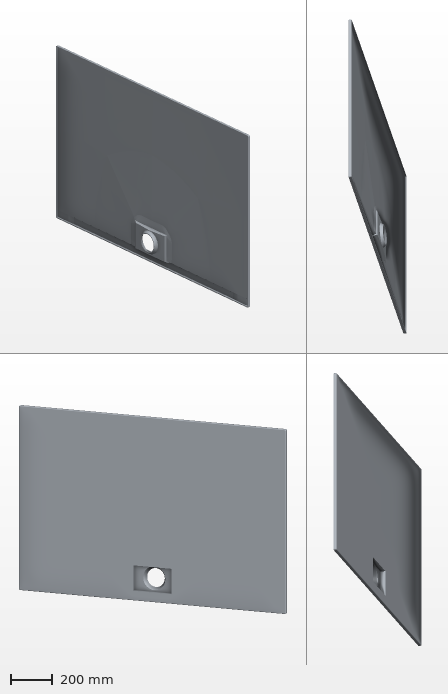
import cadquery as cq
import math


WIDTH = 1400.0
DEPTH = 900.0
CORNER_RADIUS = 6.0
BACK_EDGE_RADIUS = 4.0
RIM_WIDTH = 5.0
RIM_HEIGHT = 15.0
INNER_HALF_WIDTH = WIDTH / 2 - RIM_WIDTH
INNER_TOP = DEPTH - RIM_WIDTH

BAND_TOP = 38.0
BAND_CENTRE_HEIGHT = 5.0
BAND_END_HEIGHT = 8.0
BAND_RAMP_INNER_X = 579.0
BAND_RAMP_OUTER_X = 616.0

SLOPE_BOTTOM = 48.0
SLOPE_EDGE_HEIGHT = 9.0
SLOPE_MID_HEIGHT = 12.0
SLOPE_PEAK_HEIGHT = 19.0

JUNCTION_X = 330.0
JUNCTION_Z = 448.0
ARCH_CROWN_Z = 562.0
TOP_BREAK_X = 349.0
SIDE_BREAK_Z = 470.0
FOOT_X = 424.0
TOP_FOLD_BOW = (5.0, 0.0)
SIDE_FOLD_BOW = (0.0, 7.0)
FOOT_FOLD_BOW = (17.0, 3.0)
ARCH_BOW = (10.0, 20.0)

BOX_HALF_WIDTH = 115.0
BOX_TOP = 185.0
BOX_BOTTOM = 34.0
BOX_DRAFT_RUN = 10.0
BOX_BOTTOM_DRAFT_RUN = 13.0
BOX_EDGE_HEIGHT = 28.0
BOX_RIDGE_HEIGHT = 32.0

COLLAR_HALF_WIDTH = 154.0
COLLAR_TOP = 230.0
COLLAR_CORNER_RADIUS = 90.0
COLLAR_INNER_RADIUS = 10.0
COLLAR_BASE_HEIGHT = 17.5
COLLAR_CREST_HEIGHT = 22.0

SPOUT_Z = 112.0
SPOUT_BASE_HEIGHT = 28.0
SPOUT_BASE_RADIUS = 62.0
SPOUT_TIP_RADIUS = 50.0
SPOUT_TIP_HEIGHT = 44.0
SHELL_THICKNESS = 4.0


def point(x, z, height):
    """Point at the given place and height above the back face."""
    return cq.Vector(x, -height, z)


def line(start, end):
    return cq.Edge.makeLine(start, end)


def bowed_arc(start, end, bow):
    """Arc between two points whose middle is pushed off the chord by (x, z) bow."""
    middle = (start + end) * 0.5 + cq.Vector(bow[0], 0, bow[1])
    return cq.Edge.makeThreePointArc(start, middle, end)


def polygon_face(points):
    return cq.Face.makeFromWires(cq.Wire.makePolygon(points, close=True))


def patch(edges):
    """Smooth face spanning a closed loop of edges."""
    return cq.Face.makeNSidedSurface(edges, [])


def make_base():
    """Rim with a recess whose floor is the back slab, rounded on the back edge."""
    slab = (
        cq.Workplane("XZ")
        .center(0, DEPTH / 2)
        .rect(WIDTH, DEPTH)
        .extrude(RIM_HEIGHT)
        .edges("|Y")
        .fillet(CORNER_RADIUS)
        .faces(">Y")
        .edges()
        .fillet(BACK_EDGE_RADIUS)
    )
    recess = (
        cq.Workplane("XZ", origin=(0, -BAND_CENTRE_HEIGHT, 0))
        .center(0, DEPTH / 2)
        .rect(2 * INNER_HALF_WIDTH, DEPTH - 2 * RIM_WIDTH)
        .extrude(RIM_HEIGHT)
    )
    return slab.cut(recess)


def make_band_end(side):
    """Raised end of the edge band, with a ramp down to its centre."""
    return (
        cq.Workplane("XY", origin=(0, 0, RIM_WIDTH))
        .moveTo(side * BAND_RAMP_INNER_X, -BAND_CENTRE_HEIGHT)
        .lineTo(side * BAND_RAMP_OUTER_X, -BAND_END_HEIGHT)
        .lineTo(side * INNER_HALF_WIDTH, -BAND_END_HEIGHT)
        .lineTo(side * INNER_HALF_WIDTH, -BAND_CENTRE_HEIGHT)
        .close()
        .extrude(SLOPE_BOTTOM - RIM_WIDTH)
    )


def wall_z(height):
    """Z at which the drafted wall above the edge band reaches a height."""
    wall_fraction = (height - BAND_CENTRE_HEIGHT) / (SLOPE_PEAK_HEIGHT - BAND_CENTRE_HEIGHT)
    return BAND_TOP + wall_fraction * (SLOPE_BOTTOM - BAND_TOP)


def make_slope():
    """Sloping underside: curved patches over a flat-sided body, mirrored about X = 0."""
    junction = point(JUNCTION_X, JUNCTION_Z, SLOPE_MID_HEIGHT)
    arch_crown = point(0, ARCH_CROWN_Z, SLOPE_MID_HEIGHT)
    peak_centre = point(0, BOX_TOP, SLOPE_PEAK_HEIGHT)
    peak_corner = point(BOX_HALF_WIDTH, BOX_TOP, SLOPE_PEAK_HEIGHT)
    peak_foot = point(BOX_HALF_WIDTH, SLOPE_BOTTOM, SLOPE_PEAK_HEIGHT)
    foot_centre = point(0, SLOPE_BOTTOM, SLOPE_PEAK_HEIGHT)
    foot = point(FOOT_X, wall_z(SLOPE_MID_HEIGHT), SLOPE_MID_HEIGHT)
    top_centre = point(0, INNER_TOP, SLOPE_EDGE_HEIGHT)
    top_break = point(TOP_BREAK_X, INNER_TOP, SLOPE_EDGE_HEIGHT)
    top_corner = point(INNER_HALF_WIDTH, INNER_TOP, SLOPE_EDGE_HEIGHT)
    side_break = point(INNER_HALF_WIDTH, SIDE_BREAK_Z, SLOPE_EDGE_HEIGHT)
    bottom_corner = point(INNER_HALF_WIDTH, wall_z(SLOPE_EDGE_HEIGHT), SLOPE_EDGE_HEIGHT)
    heel_corner = point(INNER_HALF_WIDTH, BAND_TOP, BAND_CENTRE_HEIGHT)
    heel_centre = point(0, BAND_TOP, BAND_CENTRE_HEIGHT)
    floor_corner = point(INNER_HALF_WIDTH, INNER_TOP, BAND_CENTRE_HEIGHT)
    floor_centre = point(0, INNER_TOP, BAND_CENTRE_HEIGHT)

    to_top = bowed_arc(junction, top_break, TOP_FOLD_BOW)
    to_side = bowed_arc(junction, side_break, SIDE_FOLD_BOW)
    to_foot = bowed_arc(junction, foot, FOOT_FOLD_BOW)
    arch = bowed_arc(junction, arch_crown, ARCH_BOW)
    to_peak = line(junction, peak_corner)
    crown_to_top = line(arch_crown, top_centre)
    crown_to_peak = line(arch_crown, peak_centre)

    half = [
        patch([to_top, line(top_break, top_corner), line(top_corner, side_break), to_side]),
        patch([crown_to_top, line(top_centre, top_break), to_top, arch]),
        patch([arch, to_peak, line(peak_corner, peak_centre), crown_to_peak]),
        patch([to_foot, line(foot, peak_foot), line(peak_foot, peak_corner), to_peak]),
        patch([to_side, line(side_break, bottom_corner), line(bottom_corner, foot), to_foot]),
        polygon_face([peak_centre, peak_corner, peak_foot, foot_centre]),
        polygon_face([heel_centre, heel_corner, bottom_corner, foot, peak_foot, foot_centre]),
        polygon_face([heel_centre, heel_corner, floor_corner, floor_centre]),
        polygon_face([top_centre, top_break, top_corner, floor_corner, floor_centre]),
        polygon_face([side_break, top_corner, floor_corner, heel_corner, bottom_corner]),
    ]
    mirrored = [face.mirror("YZ") for face in half]
    body = cq.Solid.makeSolid(cq.Shell.makeShell(half + mirrored))
    return cq.Workplane(body.fix())


def arch_outline(half_width, top, corner_radius, height):
    """Flat-bottomed outline with rounded upper corners, at a height above the back."""
    shoulder_x = half_width - corner_radius
    shoulder_z = top - corner_radius
    diagonal = corner_radius * math.sqrt(0.5)
    wire = (
        cq.Workplane("XZ", origin=(0, -height, 0))
        .moveTo(-half_width, SLOPE_BOTTOM)
        .lineTo(-half_width, shoulder_z)
        .threePointArc((-shoulder_x - diagonal, shoulder_z + diagonal), (-shoulder_x, top))
        .lineTo(shoulder_x, top)
        .threePointArc((shoulder_x + diagonal, shoulder_z + diagonal), (half_width, shoulder_z))
        .lineTo(half_width, SLOPE_BOTTOM)
        .close()
    )
    return wire.val()


def make_collar():
    """Shallow ramp from the slope up to the drain box walls."""
    outer = arch_outline(COLLAR_HALF_WIDTH, COLLAR_TOP, COLLAR_CORNER_RADIUS, COLLAR_BASE_HEIGHT)
    inner = arch_outline(BOX_HALF_WIDTH, BOX_TOP, COLLAR_INNER_RADIUS, COLLAR_CREST_HEIGHT)
    return cq.Workplane(cq.Solid.makeLoft([outer, inner], True))


def make_drain_box():
    """Ridged box with drafted sides, top and bottom."""
    face_half_width = BOX_HALF_WIDTH - BOX_DRAFT_RUN
    cross_section = (
        cq.Workplane("XY", origin=(0, 0, BOX_BOTTOM))
        .moveTo(-BOX_HALF_WIDTH, 0)
        .lineTo(-BOX_HALF_WIDTH, -COLLAR_CREST_HEIGHT)
        .lineTo(-face_half_width, -BOX_EDGE_HEIGHT)
        .lineTo(0, -BOX_RIDGE_HEIGHT)
        .lineTo(face_half_width, -BOX_EDGE_HEIGHT)
        .lineTo(BOX_HALF_WIDTH, -COLLAR_CREST_HEIGHT)
        .lineTo(BOX_HALF_WIDTH, 0)
        .close()
        .extrude(BOX_TOP - BOX_BOTTOM)
    )
    side_profile = (
        cq.Workplane("YZ", origin=(-BOX_HALF_WIDTH, 0, 0))
        .moveTo(0, BOX_BOTTOM)
        .lineTo(-BAND_CENTRE_HEIGHT, BOX_BOTTOM)
        .lineTo(-BOX_RIDGE_HEIGHT, BOX_BOTTOM + BOX_BOTTOM_DRAFT_RUN)
        .lineTo(-BOX_RIDGE_HEIGHT, BOX_TOP - BOX_DRAFT_RUN)
        .lineTo(-COLLAR_CREST_HEIGHT, BOX_TOP)
        .lineTo(0, BOX_TOP)
        .close()
        .extrude(2 * BOX_HALF_WIDTH)
    )
    return cross_section.intersect(side_profile)


def make_spout(base_height, inset):
    """Truncated cone from a height to the spout tip, its radii reduced by an inset."""
    return (
        cq.Workplane("XZ", origin=(0, -base_height, SPOUT_Z))
        .circle(SPOUT_BASE_RADIUS - inset)
        .workplane(offset=SPOUT_TIP_HEIGHT - base_height)
        .circle(SPOUT_TIP_RADIUS - inset)
        .loft()
    )


def make_drain_well():
    """Hollow inside the drain box and spout, open to the back face and at the spout tip."""
    well_height = BOX_EDGE_HEIGHT - SHELL_THICKNESS
    half_width = BOX_HALF_WIDTH - BOX_DRAFT_RUN - SHELL_THICKNESS
    top = BOX_TOP - BOX_DRAFT_RUN - SHELL_THICKNESS
    bottom = BOX_BOTTOM + BOX_BOTTOM_DRAFT_RUN
    chamber = (
        cq.Workplane("XZ")
        .center(0, (top + bottom) / 2)
        .rect(2 * half_width, top - bottom)
        .extrude(well_height)
    )
    return chamber.union(make_spout(well_height, SHELL_THICKNESS))


tray = make_base()
for side in (-1, 1):
    tray = tray.union(make_band_end(side))
for feature in (make_slope(), make_collar(), make_drain_box(), make_spout(SPOUT_BASE_HEIGHT, 0)):
    tray = tray.union(feature)

result = tray.cut(make_drain_well())